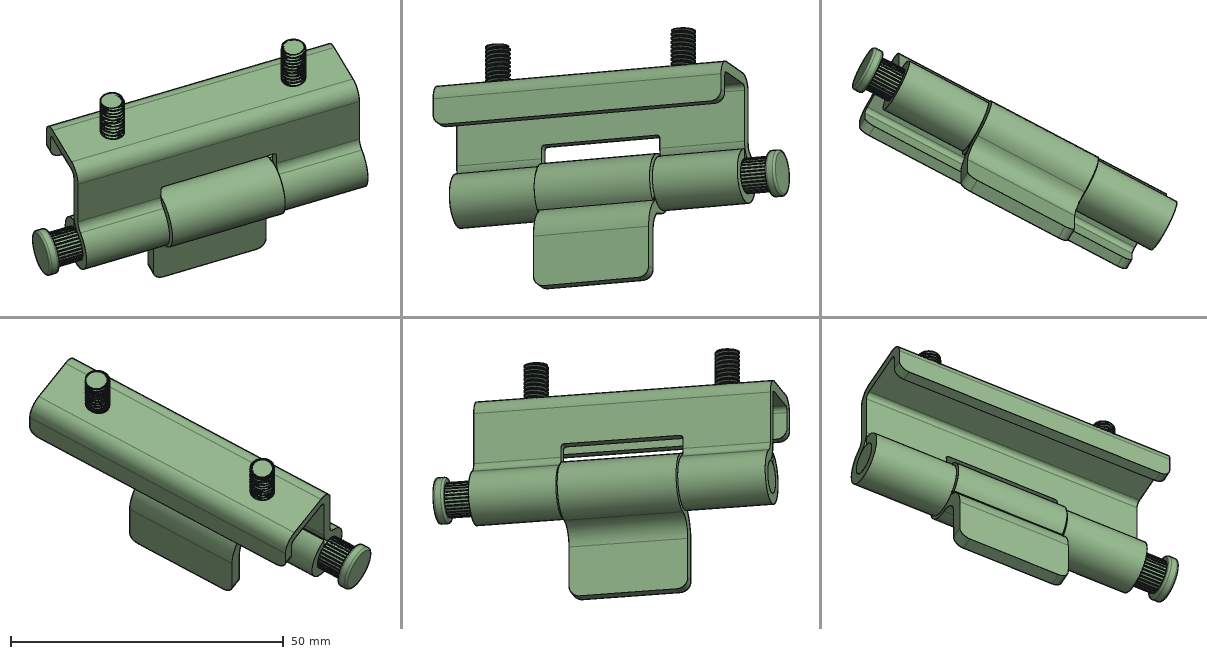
import cadquery as cq
import math


OVERALL_LENGTH = 63.0

BRACKET_LENGTH = 56.0
BRACKET_SHEET = 2.0
BRACKET_TOP = 19.0
BRACKET_LEFT = -14.0
FLANGE_HEIGHT = 8.0
FLANGE_CORNER_R = 2.0
BEND_INNER_R = 1.0
BEND_OUTER_R = BEND_INNER_R + BRACKET_SHEET
NECK_INNER_R = 2.0
WALL_RIGHT = BRACKET_SHEET / 2
WALL_LEFT = -BRACKET_SHEET / 2

WINDOW_LENGTH = 23.0
WINDOW_TOP = 8.95
WINDOW_CORNER_R = 0.6

LEAF_LENGTH = 22.4
LEAF_SHEET = 2.5
LEAF_LEFT = -6.05
LEAF_BOTTOM = -19.0
LEAF_CORNER_R = 2.0
LEAF_BEND_INNER_R = 4.0
LEAF_CURL_END = math.radians(227)
LEAF_REAR_GAP = 0.2
LEAF_RIGHT = LEAF_LEFT + LEAF_SHEET

PIN_R = 3.0
HEAD_R = 4.3
HEAD_THICKNESS = 2.0
HEAD_EDGE_R = 0.45
PIN_STICK_OUT = OVERALL_LENGTH - BRACKET_LENGTH
KNURL_R = 3.3
KNURL_GROOVES = 30
KNURL_GROOVE_WIDTH = 0.2

STUD_R = 2.25
STUD_LENGTH = 7.75
STUD_SPACING = 36.05
THREAD_TURNS = 9.7
THREAD_PITCH = STUD_LENGTH / THREAD_TURNS
THREAD_DEPTH = 0.47
THREAD_ROOT_FLAT = 0.1
THREAD_OPENING = 0.6
FLANK_POINTS = 8

BRACKET_KNUCKLE_R = PIN_R + BRACKET_SHEET
LEAF_KNUCKLE_R = PIN_R + LEAF_SHEET
BRACKET_FRONT = -BRACKET_LENGTH / 2
BRACKET_REAR = BRACKET_LENGTH / 2
STUD_X = (BRACKET_LEFT + WALL_RIGHT) / 2


def polar(radius, angle):
    """Point at a radius and an angle (radians) about the hinge axis."""
    return (radius * math.cos(angle), radius * math.sin(angle))


def about(center, radius, angle):
    """Point at a radius and an angle (radians) about any center."""
    x, z = polar(radius, angle)
    return (center[0] + x, center[1] + z)


def direction(start, end):
    """Angle of the line from start to end."""
    return math.atan2(end[1] - start[1], end[0] - start[0])


def between(center, start, end):
    """Middle point of the short arc from start to end about a center."""
    radius = math.dist(center, start)
    middle = ((start[0] + end[0]) / 2, (start[1] + end[1]) / 2)
    return about(center, radius, direction(center, middle))


def round_trip(radius, start, end, sense):
    """Middle point of the long arc about the axis; sense is +1 for counterclockwise."""
    first = math.atan2(start[1], start[0])
    sweep = (sense * (math.atan2(end[1], end[0]) - first)) % (2 * math.pi)
    return polar(radius, first + sense * sweep / 2)


def curl(outline, bend_start, bend_center, sheet, tip_inner, tip_outer):
    """Add to an outline, ending on the outer bend face at bend_start, the bend and the knuckle.

    The curled sheet ends in a flat from tip_inner on the bore to tip_outer on the knuckle.
    The outline comes back along the hollow side of the bend and ends level with bend_start.
    """
    outer_r = PIN_R + sheet
    toward_center = math.atan2(bend_center[1], bend_center[0])
    bore_tangent = polar(PIN_R, toward_center)
    outer_tangent = polar(outer_r, toward_center)
    bend_end = (bend_start[0] + sheet, bend_start[1])
    sense = -math.copysign(1, bend_center[1])
    return (
        outline
        .threePointArc(between(bend_center, bend_start, bore_tangent), bore_tangent)
        .threePointArc(round_trip(PIN_R, bore_tangent, tip_inner, sense), tip_inner)
        .lineTo(*tip_outer)
        .threePointArc(round_trip(outer_r, tip_outer, outer_tangent, -sense), outer_tangent)
        .threePointArc(between(bend_center, outer_tangent, bend_end), bend_end)
    )


def height_on_circle(radius, x):
    """Height above the axis, at x, of a circle about the axis."""
    return math.sqrt(radius**2 - x**2)


def profile_plane(y):
    """XZ plane at the given Y; extrusions run toward -Y."""
    return cq.Workplane("XZ", origin=(0, y, 0))


def make_bracket():
    neck_x = WALL_RIGHT + NECK_INNER_R
    neck_center = (neck_x, height_on_circle(BRACKET_KNUCKLE_R + NECK_INNER_R, neck_x))
    inner_top = BRACKET_TOP - BRACKET_SHEET
    flange_right = BRACKET_LEFT + BRACKET_SHEET
    flange_bottom = BRACKET_TOP - FLANGE_HEIGHT
    left_bend = (BRACKET_LEFT + BEND_OUTER_R, BRACKET_TOP - BEND_OUTER_R)
    right_bend = (WALL_RIGHT - BEND_OUTER_R, BRACKET_TOP - BEND_OUTER_R)
    up_left = math.radians(135)
    up_right = math.radians(45)

    outline = (
        profile_plane(BRACKET_REAR)
        .moveTo(BRACKET_LEFT, flange_bottom)
        .lineTo(flange_right, flange_bottom)
        .lineTo(flange_right, left_bend[1])
        .threePointArc(about(left_bend, BEND_INNER_R, up_left), (left_bend[0], inner_top))
        .lineTo(right_bend[0], inner_top)
        .threePointArc(about(right_bend, BEND_INNER_R, up_right), (WALL_LEFT, right_bend[1]))
        .lineTo(WALL_LEFT, neck_center[1])
    )
    tip_inner = (WALL_LEFT, height_on_circle(PIN_R, WALL_LEFT))
    tip_outer = (WALL_LEFT, height_on_circle(BRACKET_KNUCKLE_R, WALL_LEFT))
    neck_start = (WALL_LEFT, neck_center[1])
    outline = curl(outline, neck_start, neck_center, BRACKET_SHEET, tip_inner, tip_outer)
    sheet = (
        outline
        .lineTo(WALL_RIGHT, right_bend[1])
        .threePointArc(about(right_bend, BEND_OUTER_R, up_right), (right_bend[0], BRACKET_TOP))
        .lineTo(left_bend[0], BRACKET_TOP)
        .threePointArc(about(left_bend, BEND_OUTER_R, up_left), (BRACKET_LEFT, left_bend[1]))
        .close()
        .extrude(BRACKET_LENGTH)
    )

    flange_end = cq.selectors.NearestToPointSelector(
        ((BRACKET_LEFT + flange_right) / 2, 0, flange_bottom)
    )
    sheet = sheet.faces(flange_end).edges("|X").fillet(FLANGE_CORNER_R)

    window_bottom = -2 * BRACKET_KNUCKLE_R
    window = (
        cq.Workplane("XY", origin=(0, 0, window_bottom))
        .rect(4 * BRACKET_KNUCKLE_R, WINDOW_LENGTH)
        .extrude(WINDOW_TOP - window_bottom)
        .edges("|X and >Z")
        .fillet(WINDOW_CORNER_R)
    )
    return sheet.cut(window)


def make_leaf():
    bend_x = LEAF_RIGHT + LEAF_BEND_INNER_R
    bend_center = (bend_x, -height_on_circle(LEAF_KNUCKLE_R + LEAF_BEND_INNER_R, bend_x))
    outline = (
        profile_plane(WINDOW_LENGTH / 2 - LEAF_REAR_GAP)
        .moveTo(LEAF_LEFT, LEAF_BOTTOM)
        .lineTo(LEAF_LEFT, bend_center[1])
    )
    tip_inner = polar(PIN_R, LEAF_CURL_END)
    tip_outer = polar(LEAF_KNUCKLE_R, LEAF_CURL_END)
    bend_start = (LEAF_LEFT, bend_center[1])
    outline = curl(outline, bend_start, bend_center, LEAF_SHEET, tip_inner, tip_outer)
    plate = outline.lineTo(LEAF_RIGHT, LEAF_BOTTOM).close().extrude(LEAF_LENGTH)
    return plate.faces("<Z").edges("|X").fillet(LEAF_CORNER_R)


def make_pin():
    knurl_length = PIN_STICK_OUT - HEAD_THICKNESS
    head_rear = BRACKET_FRONT - knurl_length
    shaft = profile_plane(BRACKET_REAR).circle(PIN_R).extrude(BRACKET_LENGTH)
    grooves = (
        profile_plane(BRACKET_FRONT)
        .polarArray(KNURL_R, 0, 360, KNURL_GROOVES)
        .rect(2 * (KNURL_R - PIN_R), KNURL_GROOVE_WIDTH)
        .extrude(knurl_length)
    )
    knurl = profile_plane(BRACKET_FRONT).circle(KNURL_R).extrude(knurl_length).cut(grooves)
    head = (
        profile_plane(head_rear)
        .circle(HEAD_R)
        .extrude(HEAD_THICKNESS)
        .edges()
        .fillet(HEAD_EDGE_R)
    )
    return shaft.union(knurl).union(head)


def make_stud(side):
    """Stud at +Y (side 1, right-hand thread) or at -Y (side -1, left-hand thread).

    Every level cut through a thread is the same outline, turned once per pitch: a crest arc and a
    root arc joined by two spiral flanks. The groove reaches the top face at +X.
    """
    root_r = STUD_R - THREAD_DEPTH
    mouth_angle = math.pi * THREAD_OPENING / THREAD_PITCH
    root_angle = math.pi * THREAD_ROOT_FLAT / THREAD_PITCH
    flank_steps = [step / FLANK_POINTS for step in range(FLANK_POINTS + 1)]
    falling_flank = [
        polar(STUD_R - THREAD_DEPTH * step, -mouth_angle + (mouth_angle - root_angle) * step)
        for step in flank_steps
    ]
    rising_flank = [(x, -y) for x, y in reversed(falling_flank)]
    twist = side * 360 * THREAD_TURNS
    return (
        cq.Workplane("XY")
        .moveTo(*falling_flank[0])
        .spline(falling_flank[1:], includeCurrent=True)
        .threePointArc((root_r, 0), rising_flank[0])
        .spline(rising_flank[1:], includeCurrent=True)
        .threePointArc((-STUD_R, 0), falling_flank[0])
        .close()
        .twistExtrude(STUD_LENGTH, twist)
        .rotate((0, 0, 0), (0, 0, 1), -twist)
        .translate((STUD_X, side * STUD_SPACING / 2, BRACKET_TOP))
    )


bracket = make_bracket()
leaf = make_leaf()
pin = make_pin()
studs = [make_stud(side) for side in (1, -1)]

result = cq.Compound.makeCompound(
    [body.solids().val() for body in (bracket, leaf, pin, *studs)]
)